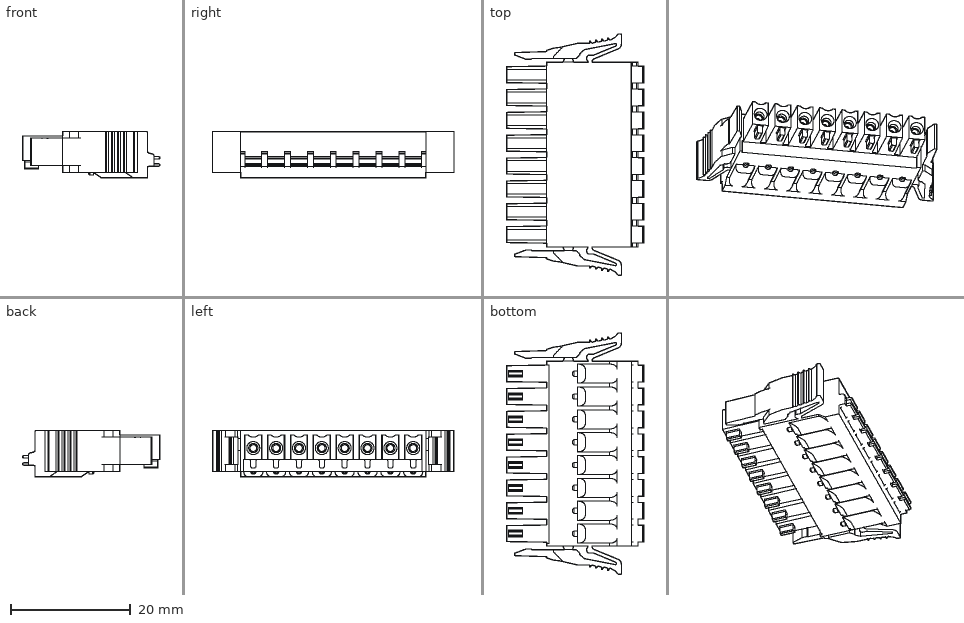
import cadquery as cq


total_length = 22.9
total_width = 40.3
total_height = 7.75

pole_count = 8
row_length = 26.65
pitch = row_length / (pole_count - 1)
pole_places = [(i - (pole_count - 1) / 2) * pitch for i in range(pole_count)]

housing_front = 6.7
housing_back = 20.85
housing_half_width = 15.43
housing_edge_chamfer = 0.12
housing_height = 6.85
foot_ramp_start = 17.15
foot_ramp_end = 18.45

recess_depth = 0.4
recess_y_min = -14.8
recess_y_max = 15.0
recess_top = -4.87

rib_width = 3.2
rib_corner_radius = 0.8
rib_start = 11.85
rib_flat_start = 13.15
stud_start = 11.05
stud_radius = 0.45
stud_chamfer = 0.2

plug_top = -0.73
plug_bottom = recess_top
plug_tip_width = 2.7
plug_base_width = 2.9
groove_width = 1.77
groove_depth = 0.4
bore_z = -2.95
bore_mouth_radius = 1.1
bore_radius = 0.75
bore_cone_depth = 0.8
bore_end_radius = 0.55
bore_depth = 1.6
bore_end_depth = 2.8

key_front = 0.35
key_back = 2.7
key_bottom = -6.25
key_width = 0.85
key_root_width = 1.13
key_root_height = 0.2
key_chamfer = 0.15

post_back = 21.95
post_top = -3.35
post_root = (21.03, -3.6)
post_nose_start = (21.7, -3.75)
post_nose_middle = (21.87, -3.9)
post_tip_z = -4.1
post_bottom = -5.85
post_root_fillet = 0.2
blade_width = 2.8
blade_thickness = 0.5
blade_tops = (-4.15, post_bottom + blade_thickness)
blade_tip_length = 0.3
blade_tip_inset = 0.12

latch_half_width = total_width / 2
latch_inner = 16.0
latch_height = housing_height
latch_head_front = 7.85
latch_head_front_outer = 16.4
latch_back = 19.17
tail_top = -1.13
tail_bottom = -latch_height - tail_top
tooth_count = 4
lever_flat_start = 11.95
lever_flat_y = 18.6
lever_slope = 0.23
tail_merge = 8.9
head_shoulder = 9.63
tooth_start = 13.85
tooth_pitch = 1.0
tooth_rise = 0.175
tooth_height = 0.32
tooth_width = 0.15
valley_width = 0.32
nose_radius = 0.15
neck_top = -1.35
neck_bottom = -3.4


def box(x0, x1, y0, y1, z0, z1):
    """Box between two opposite corners."""
    return cq.Workplane("XY").box(x1 - x0, y1 - y0, z1 - z0, centered=False).translate((x0, y0, z0))


def across(profile, width):
    """Extrude an XZ outline over a width centred on Y = 0."""
    return profile.extrude(width / 2, both=True)


def make_housing():
    """Housing block with its foot, top edge chamfer and front recess."""
    outline = cq.Workplane("XZ").polyline([
        (housing_front, 0),
        (housing_back, 0),
        (housing_back, -total_height),
        (foot_ramp_end, -total_height),
        (foot_ramp_start, -housing_height),
        (housing_front, -housing_height),
    ]).close()
    body = across(outline, 2 * housing_half_width)
    body = body.edges("|Y and >X and >Z").chamfer(housing_edge_chamfer)
    recess = box(
        housing_front, housing_front + recess_depth,
        recess_y_min, recess_y_max,
        -housing_height, recess_top,
    )
    return body.cut(recess)


def make_rib():
    """Rib below one pole with rounded lower corners and a sloped front, and its stud."""
    rib = across(cq.Workplane("XZ").polyline([
        (rib_start, -housing_height),
        (foot_ramp_end, -housing_height),
        (foot_ramp_end, -total_height),
        (rib_start, -total_height),
    ]).close(), rib_width).edges("|X and <Z").fillet(rib_corner_radius)
    front_wedge = across(cq.Workplane("XZ").polyline([
        (rib_start, -housing_height),
        (rib_flat_start, -total_height),
        (rib_start, -total_height),
    ]).close(), rib_width)
    stud = (
        cq.Workplane("YZ").center(0, -housing_height).circle(stud_radius)
        .extrude(rib_start - stud_start).faces("<X").chamfer(stud_chamfer)
        .translate((stud_start, 0, 0))
    )
    return rib.cut(front_wedge).union(stud)


def make_plug():
    """One tapered plug with its top groove, key and stepped bore."""
    middle_z = (plug_top + plug_bottom) / 2
    height = plug_top - plug_bottom
    plug = (
        cq.Workplane("YZ").center(0, middle_z).rect(plug_tip_width, height)
        .workplane(offset=housing_front).rect(plug_base_width, height).loft()
    )
    groove_radius = ((groove_width / 2) ** 2 + groove_depth ** 2) / (2 * groove_depth)
    groove = (
        cq.Workplane("YZ").center(0, plug_top - groove_depth + groove_radius)
        .circle(groove_radius).extrude(housing_front)
    )
    bore = cq.Workplane("XY").polyline([
        (0, 0),
        (0, bore_mouth_radius),
        (bore_cone_depth, bore_radius),
        (bore_depth, bore_radius),
        (bore_depth, bore_end_radius),
        (bore_end_depth, bore_end_radius),
        (bore_end_depth, 0),
    ]).close().revolve(360, (0, 0), (1, 0)).translate((0, 0, bore_z))
    return plug.cut(groove).union(make_key()).cut(bore)


def make_key():
    """Key below one plug, widened at the root and chamfered at the bottom."""
    half = key_width / 2
    root_half = key_root_width / 2
    root_z = plug_bottom - key_root_height
    return cq.Workplane("YZ").polyline([
        (-root_half, plug_bottom),
        (-half, root_z),
        (-half, key_bottom + key_chamfer),
        (-half + key_chamfer, key_bottom),
        (half - key_chamfer, key_bottom),
        (half, key_bottom + key_chamfer),
        (half, root_z),
        (root_half, plug_bottom),
    ]).close().extrude(key_back - key_front).translate((key_front, 0, 0))


def make_posts():
    """Comb of posts: one rounded rail with a gap for each pair of blades."""
    rail = across(
        cq.Workplane("XZ").moveTo(housing_back, post_top)
        .lineTo(*post_root)
        .lineTo(*post_nose_start)
        .threePointArc(post_nose_middle, (post_back, post_tip_z))
        .lineTo(post_back, post_bottom)
        .lineTo(housing_back + post_root_fillet, post_bottom)
        .radiusArc((housing_back, post_bottom - post_root_fillet), -post_root_fillet)
        .close(),
        2 * housing_half_width,
    )
    for y in pole_places:
        rail = rail.cut(box(
            housing_back, total_length, y - blade_width / 2, y + blade_width / 2, -total_height, 0,
        ))
    return rail


def make_blades():
    """Upper and lower contact blades of one pole."""
    blades = cq.Workplane("XY")
    for top in blade_tops:
        bottom = top - blade_thickness
        blade = cq.Workplane("XZ").polyline([
            (housing_back, top),
            (total_length - blade_tip_length, top),
            (total_length, top - blade_tip_inset),
            (total_length, bottom + blade_tip_inset),
            (total_length - blade_tip_length, bottom),
            (housing_back, bottom),
        ]).close()
        blades = blades.union(across(blade, blade_width))
    return blades


def lever_y(x):
    """Y position of the sloped outer face of the lever."""
    return lever_flat_y - lever_slope * (lever_flat_start - x)


def latch_head_outline():
    """Latch outline without the tail: thick lever, finger grip and folded spring arm."""
    outline = (
        cq.Workplane("XY")
        .moveTo(latch_head_front, latch_inner)
        .lineTo(11.6, latch_inner)
        .lineTo(12.25, 16.65)
        .lineTo(12.25, 16.85)
        .lineTo(12.97, 17.5)
        .lineTo(18.13, 18.5)
        .threePointArc((18.33, 18.33), (18.2, 18.13))
        .lineTo(14.5, 16.6)
        .lineTo(13.7, 16.6)
        .threePointArc((13.37, 16.27), (13.37, 15.85))
        .lineTo(13.6, housing_half_width)
        .lineTo(14.25, housing_half_width)
        .threePointArc((14.35, 15.7), (14.6, 15.95))
        .lineTo(18.7, 17.65)
        .threePointArc((19.05, 18.0), (latch_back, 18.5))
        .lineTo(latch_back, latch_half_width - nose_radius)
        .radiusArc((latch_back - nose_radius, latch_half_width), -nose_radius)
        .lineTo(18.7, latch_half_width)
        .lineTo(18.5, 20.0)
        .threePointArc((18.2, 19.65), (17.8, 19.4))
    )
    for i in reversed(range(tooth_count)):
        x = tooth_start + i * tooth_pitch
        y = lever_flat_y + i * tooth_rise
        outline = (
            outline.lineTo(x + tooth_width + valley_width, y)
            .radiusArc((x + tooth_width, y + tooth_height), valley_width)
            .lineTo(x, y + tooth_height)
            .lineTo(x, y)
        )
    return (
        outline.lineTo(lever_flat_start, lever_flat_y)
        .lineTo(head_shoulder, lever_y(head_shoulder))
        .lineTo(9.35, 17.92)
        .lineTo(latch_head_front, latch_head_front_outer)
        .close()
    )


def make_latch():
    """Latch on the +Y side, standing on its neck and spring arm."""
    head = latch_head_outline().extrude(-latch_height)
    tail = cq.Workplane("XY").polyline([
        (1.5, 17.05),
        (1.35, 16.95),
        (1.35, 16.6),
        (3.25, 15.87),
        (4.1, 15.87),
        (4.23, latch_inner),
        (head_shoulder, latch_inner),
        (head_shoulder, lever_y(head_shoulder)),
        (tail_merge, lever_y(tail_merge)),
        (7.8, 17.75),
        (6.7, 17.4),
        (6.7, 17.2),
    ]).close().extrude(tail_bottom - tail_top).translate((0, 0, tail_top))
    neck = cq.Workplane("XY").polyline([
        (9.4, housing_half_width),
        (9.65, latch_inner),
        (11.05, latch_inner),
        (11.2, housing_half_width),
    ]).close().extrude(neck_bottom - neck_top).translate((0, 0, neck_top))
    return head.union(tail).union(neck)


result = make_housing().union(make_posts())
pole = make_plug().union(make_rib()).union(make_blades())
for pole_y in pole_places:
    result = result.union(pole.translate((0, pole_y, 0)))
latch = make_latch()
result = result.union(latch).union(latch.mirror("XZ"))